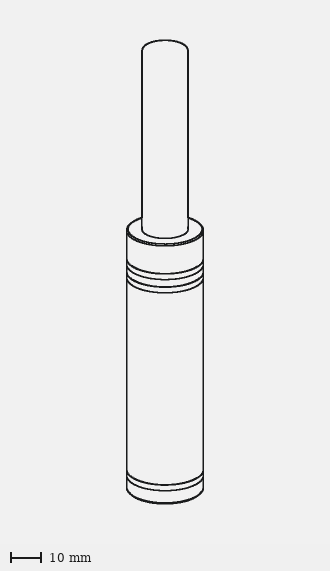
import cadquery as cq

total_height = 156.0
body_diameter = 25.0
body_height = 92.0
rod_diameter = 15.0

body_top_chamfer = 0.5
body_bottom_chamfer = 0.6
rod_tip_fillet = 1.0

groove_radius = 1.0
groove_heights = (6.0, 76.0, 80.7)


def make_body():
    """Upright cylinder with both rims chamfered."""
    body = cq.Workplane("XY").circle(body_diameter / 2).extrude(body_height)
    body = body.faces(">Z").edges().chamfer(body_top_chamfer)
    return body.faces("<Z").edges().chamfer(body_bottom_chamfer)


def make_rod():
    """Rod from the top of the body to full height, with a rounded tip."""
    rod = cq.Workplane("XY").workplane(offset=body_height).circle(rod_diameter / 2)
    rod = rod.extrude(total_height - body_height)
    return rod.faces(">Z").edges().fillet(rod_tip_fillet)


def make_groove_cutter(height):
    """Ring of round section centred on the body surface at the given height."""
    return cq.Workplane(cq.Solid.makeTorus(body_diameter / 2, groove_radius, cq.Vector(0, 0, height)))


body = make_body()
for groove_height in groove_heights:
    body = body.cut(make_groove_cutter(groove_height))

result = body.union(make_rod())